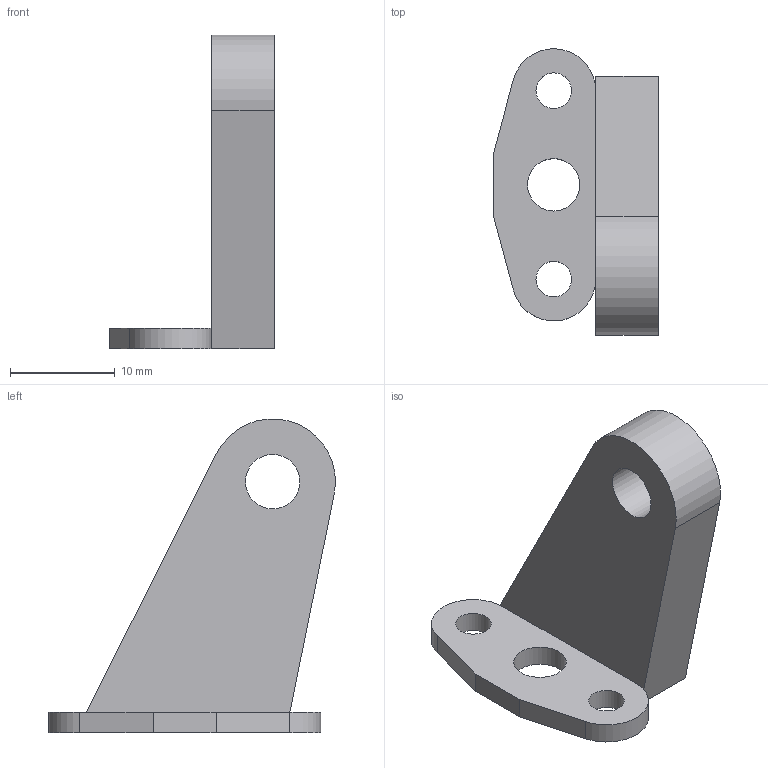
import cadquery as cq
import math

base_thickness = 2.0
ear_radius = 4.0
ear_offset = 9.0
front_edge_x = -5.75
front_edge_half_length = 3.0
center_hole_diameter = 5.0
screw_hole_diameter = 3.4

lug_thickness = 6.0
lug_inner_x = ear_radius
eye_radius = 6.0
eye_hole_diameter = 5.2
eye_y = -8.4
eye_z = 24.0
lug_foot_rear_y = 10.36
lug_foot_front_y = -9.65


def tangent_point(point, center, radius, side):
    """Touch point of the tangent from point to a circle; side +1 or -1 picks which of the two."""
    dx = point[0] - center[0]
    dy = point[1] - center[1]
    angle = math.atan2(dy, dx) + side * math.acos(radius / math.hypot(dx, dy))
    return (center[0] + radius * math.cos(angle), center[1] + radius * math.sin(angle))


def make_base():
    corner = (front_edge_x, front_edge_half_length)
    touch_x, touch_y = tangent_point(corner, (0, ear_offset), ear_radius, -1)
    ear_tip_y = ear_offset + ear_radius
    outline = (
        cq.Workplane("XY")
        .moveTo(front_edge_x, -front_edge_half_length)
        .lineTo(*corner)
        .lineTo(touch_x, touch_y)
        .threePointArc((0, ear_tip_y), (ear_radius, ear_offset))
        .lineTo(ear_radius, -ear_offset)
        .threePointArc((0, -ear_tip_y), (touch_x, -touch_y))
        .close()
    )
    return outline.extrude(base_thickness)


def make_lug():
    rear_foot = (lug_foot_rear_y, 0)
    front_foot = (lug_foot_front_y, 0)
    eye_center = (eye_y, eye_z)
    rear_touch = tangent_point(rear_foot, eye_center, eye_radius, 1)
    front_touch = tangent_point(front_foot, eye_center, eye_radius, -1)
    outline = (
        cq.Workplane("YZ", origin=(lug_inner_x, 0, 0))
        .moveTo(*front_foot)
        .lineTo(*rear_foot)
        .lineTo(*rear_touch)
        .threePointArc((eye_y, eye_z + eye_radius), front_touch)
        .close()
    )
    return outline.extrude(lug_thickness)


def cut_base_holes(body):
    center_hole = cq.Workplane("XY").circle(center_hole_diameter / 2).extrude(base_thickness)
    screw_holes = (
        cq.Workplane("XY")
        .pushPoints([(0, ear_offset), (0, -ear_offset)])
        .circle(screw_hole_diameter / 2)
        .extrude(base_thickness)
    )
    return body.cut(center_hole).cut(screw_holes)


def cut_eye_hole(body):
    eye_hole = (
        cq.Workplane("YZ", origin=(lug_inner_x, 0, 0))
        .center(eye_y, eye_z)
        .circle(eye_hole_diameter / 2)
        .extrude(lug_thickness)
    )
    return body.cut(eye_hole)


bracket = make_base().union(make_lug())
result = cut_eye_hole(cut_base_holes(bracket))